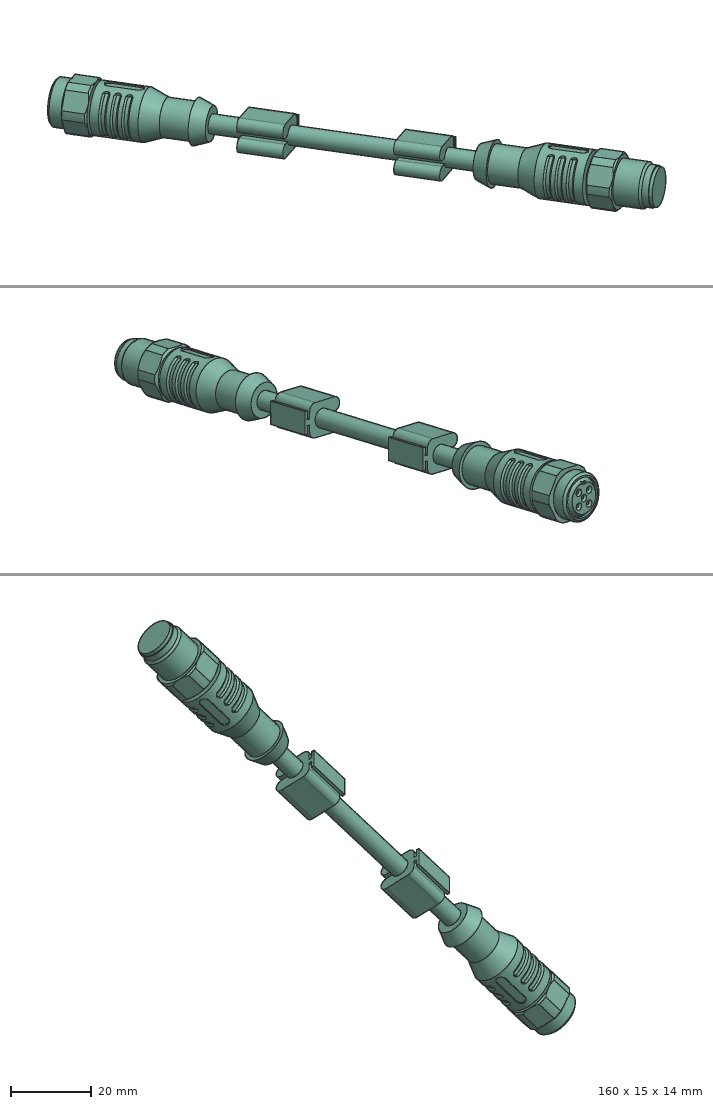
import cadquery as cq
import math


total_length = 160.0
cable_diameter = 5.1

body_diameter = 14.0
sleeve_diameter = 10.2
flange_diameter = 12.3
tail_diameter = 9.3
grip_end = 12.8
taper_end = 17.8
flange_start = 25.8
tail_end = 29.8

grip_count = 3
grip_first = 3.4
grip_pitch = 3.0
grip_width = 2.0
grip_floor_width = 1.0
grip_depth = 0.5
grip_inner_y = 3.2
flat_length = 10.4
flat_width = 2.5
flat_floor = 6.5
socket_flat_inset = 1.6
plug_flat_inset = 1.0

nut_across_flats = 14.0
nut_corner_diameter = 15.0
nut_chamfer = 0.5
nut_face_diameter = 13.5
neck_diameter = 9.3

collar_start = 0.5
collar_chamfer = 0.6
collar_end = 4.3
collar_diameter = 12.8
collar_bore_diameter = 10.5
collar_bore_depth = 1.0
collar_neck_diameter = 12.0
socket_nut_start = 4.8
socket_nut_end = 11.4
socket_body_face = 12.0

insert_diameter = 8.6
insert_face_diameter = 8.3
insert_lip_start = 0.2
contact_diameter = 0.7
contact_mouth_diameter = 2.0
contact_mouth_depth = 0.5
contact_circle_radius = 2.5
contact_depth = 3.2
outer_contact_count = 4
key_width = 1.3
key_depth = 0.6
key_length = 1.6

plug_body_face = 142.2
plug_nut_start = 143.0
plug_nut_end = 150.0
thread_end = 156.6
thread_diameter = 12.0
lead_end = 157.3
lead_diameter = 10.9
tip_start = 159.0
tip_diameter = 10.2

clip_starts = (50.5, 92.0)
clip_length = 12.2
clip_height = 9.3
clip_edge_radius = 2.0
clip_front_y = -6.0
clip_back_y = 4.5
clip_opening = clip_height - 4 * clip_edge_radius
leaf_outer_y = 6.0
leaf_thickness = 0.8
leaf_height = 6.0
leaf_root_height = 1.6


def rod(start, end, diameter):
    """Round bar along X."""
    return cq.Workplane("YZ", origin=(start, 0, 0)).circle(diameter / 2).extrude(end - start)


def turned(points):
    """Solid of revolution about X from (position, diameter) points."""
    outline = [(x, diameter / 2) for x, diameter in points]
    outline = [(outline[0][0], 0)] + outline + [(outline[-1][0], 0)]
    return cq.Workplane("XY").polyline(outline).close().revolve(360, (0, 0, 0), (1, 0, 0))


def box(start, end, y_min, y_max, z_min, z_max):
    """Block given by its limits along each axis."""
    size = (end - start, y_max - y_min, z_max - z_min)
    return cq.Workplane("XY").box(*size, centered=False).translate((start, y_min, z_min))


def hex_nut(start, end, front_chamfer):
    """Hexagon with flats at top and bottom and turned-down corners."""
    corner_to_corner = nut_across_flats / math.cos(math.pi / 6)
    hexagon = (
        cq.Workplane("YZ", origin=(start, 0, 0))
        .polygon(6, corner_to_corner)
        .extrude(end - start)
    )
    profile = [(end - nut_chamfer, nut_corner_diameter), (end, nut_across_flats)]
    if front_chamfer:
        profile = [(start, nut_face_diameter), (start + nut_chamfer, nut_corner_diameter)] + profile
    else:
        profile = [(start, nut_corner_diameter)] + profile
    return hexagon.intersect(turned(profile))


def connector_body(face, direction, flat_inset):
    """Grip body, taper, sleeve and tail running from face along direction (+1 or -1)."""
    def at(distance):
        return face + direction * distance

    body = turned([
        (at(0), body_diameter),
        (at(grip_end), body_diameter),
        (at(taper_end), sleeve_diameter),
        (at(flange_start), sleeve_diameter),
        (at(flange_start), flange_diameter),
        (at(tail_end), tail_diameter),
    ])

    floor_diameter = body_diameter - 2 * grip_depth
    groove_length = body_diameter
    for index in range(grip_count):
        x = at(grip_first + index * grip_pitch)
        core = turned([
            (x - grip_width / 2, body_diameter),
            (x - grip_floor_width / 2, floor_diameter),
            (x + grip_floor_width / 2, floor_diameter),
            (x + grip_width / 2, body_diameter),
        ])
        for side in (-1, 1):
            y = side * (grip_inner_y + groove_length / 2)
            groove = (
                cq.Workplane("XY", origin=(x, y, 0))
                .slot2D(groove_length, grip_width, 90)
                .extrude(body_diameter / 2, both=True)
            )
            body = body.cut(groove.cut(core))

    flat_x = at(flat_inset + flat_length / 2)
    flat_depth = body_diameter / 2 - flat_floor
    for floor in (flat_floor, -body_diameter / 2):
        recess = (
            cq.Workplane("XY", origin=(flat_x, 0, floor))
            .slot2D(flat_length, flat_width)
            .extrude(flat_depth)
        )
        body = body.cut(recess)
    return body


def socket_coupling():
    """Collar, nut and contact insert at the left end."""
    collar = turned([
        (collar_start, collar_diameter - 2 * collar_chamfer),
        (collar_start + collar_chamfer, collar_diameter),
        (collar_end, collar_diameter),
        (collar_end, collar_neck_diameter),
        (socket_nut_start, collar_neck_diameter),
    ])
    collar = collar.cut(rod(collar_start, collar_start + collar_bore_depth, collar_bore_diameter))
    insert = turned([
        (0, insert_face_diameter),
        (insert_lip_start, insert_diameter),
        (collar_start + collar_bore_depth, collar_bore_diameter),
    ])
    nut = hex_nut(socket_nut_start, socket_nut_end, False)
    neck = rod(socket_nut_end, socket_body_face, neck_diameter)
    coupling = collar.union(insert).union(nut).union(neck)

    contact = turned([
        (0, contact_mouth_diameter),
        (contact_mouth_depth, contact_diameter),
        (contact_depth, contact_diameter),
    ])
    contacts = contact
    for index in range(outer_contact_count):
        outer_contact = contact.translate((0, contact_circle_radius, 0))
        angle = (index + 0.5) * 360 / outer_contact_count
        contacts = contacts.union(outer_contact.rotate((0, 0, 0), (1, 0, 0), angle))

    key_top = insert_diameter / 2
    key = box(0, key_length, -key_width / 2, key_width / 2, key_top - key_depth, key_top)
    return coupling.cut(contacts).cut(key)


def plug_coupling():
    """Neck, nut and stepped spigot at the right end."""
    neck = rod(plug_body_face, plug_nut_start, neck_diameter)
    nut = hex_nut(plug_nut_start, plug_nut_end, True)
    spigot = turned([
        (plug_nut_end, thread_diameter),
        (thread_end, thread_diameter),
        (lead_end, lead_diameter),
        (tip_start, lead_diameter),
        (tip_start, tip_diameter),
        (total_length, tip_diameter),
    ])
    return neck.union(nut).union(spigot)


def label_clip(start):
    """C-shaped clip with rounded jaws in front and an upright leaf behind."""
    end = start + clip_length
    half_height = clip_height / 2
    clip = box(start, end, clip_front_y, clip_back_y, -half_height, half_height)
    clip = clip.edges("|X").fillet(clip_edge_radius)

    jaw_y = clip_front_y + clip_edge_radius
    jaw_centre_z = half_height - clip_edge_radius
    mouth = box(start, end, clip_front_y, jaw_y, -jaw_centre_z, jaw_centre_z)
    for z in (-jaw_centre_z, jaw_centre_z):
        jaw = rod(start, end, 2 * clip_edge_radius).translate((0, jaw_y, z))
        mouth = mouth.cut(jaw)
    slit = box(start, end, jaw_y, 0, -clip_opening / 2, clip_opening / 2)
    clip = clip.cut(mouth).cut(slit)

    leaf = box(start, end, leaf_outer_y - leaf_thickness, leaf_outer_y, -leaf_height / 2, leaf_height / 2)
    root = box(start, end, 0, leaf_outer_y, -leaf_root_height / 2, leaf_root_height / 2)
    return clip.union(leaf).union(root)


result = rod(socket_body_face + tail_end, plug_body_face - tail_end, cable_diameter)
result = result.union(connector_body(socket_body_face, 1, socket_flat_inset))
result = result.union(connector_body(plug_body_face, -1, plug_flat_inset))
result = result.union(socket_coupling())
result = result.union(plug_coupling())
for clip_start in clip_starts:
    result = result.union(label_clip(clip_start))